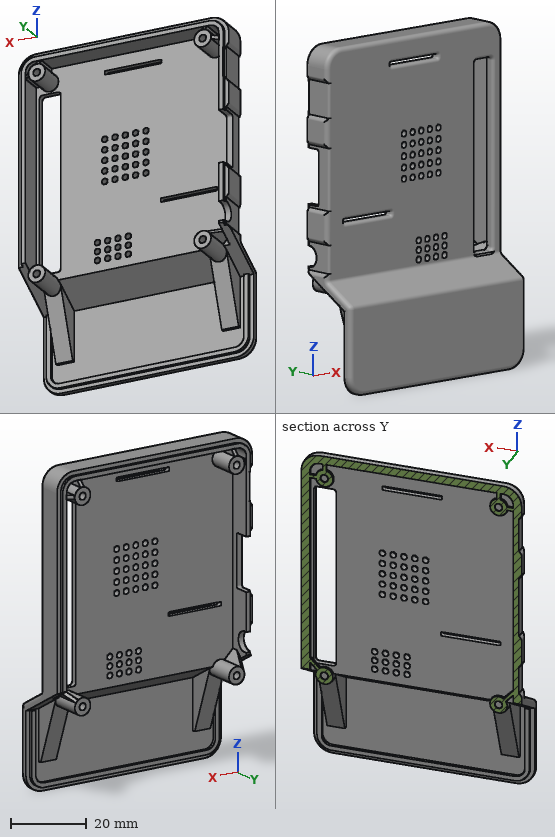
import cadquery as cq
import math

width = 62.1
height = 92.1
half_width = width / 2
corner_radius = 5.25
skin = 2.4
rim_y = 7.8
hood_front_y = -9.2
hood_rear_y = hood_front_y + skin
slope_angle = math.radians(30)
hood_slope = math.tan(slope_angle)
bend_z = 29.65
hood_bend_z = bend_z + hood_front_y * hood_slope
rear_drop = skin / math.cos(slope_angle)
front_fillet = 1.3
upper_bend_radius = 1.0
lower_bend_radius = 1.4

lip_inset = 1.2
lip_thickness = 1.3
lip_height = 0.9
lip_rear_y = rim_y + lip_height
hood_lip_y = hood_rear_y + lip_height
lip_flat_depth = 0.2
lip_flat_bottom_z = 74.3
lip_flat_top_z = 82.4
wall = lip_inset + lip_thickness

boss_radius = 2.5
boss_inset = 6.5
boss_x = half_width - boss_inset
boss_rear_y = 10.2
upper_boss_z = height - boss_inset
lower_boss_z = 27.4
lower_boss_front_y = 0.0
screw_radius = 1.0
screw_depth = 7.4
rib_thickness = 1.1
upper_rib_step = 0.2
lower_rib_angle = 45.0
lower_rib_end_y = 2.3

wedge_top_y = 1.3
wedge_bottom_z = 8.3

recess_depth = 0.7
recess_ramp = 0.9
recess_fillet = 0.6
recess_corner_radius = 0.8
recess_floors = [(73.7, 83.1), (48.7, 65.6), (31.9, 39.5)]
port_front_y = 4.1
port_bottom_z = 49.4
port_top_z = 64.6
port_corner = 0.6
jack_radius = 2.9
jack_z = 35.45

opening_fillet = 0.9
vent_corner = 0.4
window_corner = 0.9
vent_length = 16.8
vent_height = 1.1
vent_centers = [(0, 85.3), (-16.5, 45.2)]
window_x = 24.5
window_width = 6.3
window_bottom_z = 30.6
window_top_z = 82.5
sound_hole_diameter = 1.7
sound_hole_pitch = 3.0
lower_row_pitch = 2.6
upper_grid_center = (2.3, 60.0)
lower_grid_center = (6.0, 34.2)


def slope_z(y, drop):
    """Height of the slope at depth y, lowered by drop."""
    return bend_z + y * hood_slope - drop


def side_block(points, x_start, x_end):
    """Extrude an outline given as (y, z) points from x_start to x_end."""
    return cq.Workplane("YZ", origin=(x_start, 0, 0)).polyline(points).close().extrude(x_end - x_start)


def rounded_column(inset):
    """Front outline of the part, moved inward by inset, as a column along Y."""
    return (
        cq.Workplane("XZ", origin=(0, boss_rear_y, height / 2))
        .rect(width - 2 * inset, height - 2 * inset)
        .extrude(boss_rear_y - hood_front_y)
        .edges("|Y")
        .fillet(corner_radius - inset)
    )


def bent_layer(front_offset, rear_y, rear_offset, inset):
    """Solid behind the bent front, with its outline moved inward by inset.

    The front surface lies front_offset behind the bent front. The rear surface is
    rear_offset behind it along the hood and the slope, and at rear_y along the case.
    """
    front_drop = front_offset / math.cos(slope_angle)
    back_drop = rear_offset / math.cos(slope_angle)
    hood_y = hood_front_y + front_offset
    hood_back_y = hood_front_y + rear_offset
    outline = [
        (rear_y, height),
        (front_offset, height),
        (front_offset, slope_z(front_offset, front_drop)),
        (hood_y, slope_z(hood_y, front_drop)),
        (hood_y, 0),
        (hood_back_y, 0),
        (hood_back_y, slope_z(hood_back_y, back_drop)),
        (rear_y, slope_z(rear_y, back_drop)),
    ]
    return side_block(outline, -half_width, half_width).intersect(rounded_column(inset))


def edge_at(y, z):
    """Selector for the edge crossing the middle plane at (y, z)."""
    reach = 0.1
    return cq.selectors.BoxSelector((-reach, y - reach, z - reach), (reach, y + reach, z + reach))


def make_lip():
    """Lip blanks on the case rim, ending at the slope, and on the rear of the hood."""
    case_lip = [
        (skin, height),
        (lip_rear_y, height),
        (lip_rear_y, slope_z(lip_rear_y, rear_drop)),
        (skin, slope_z(skin, rear_drop)),
    ]
    hood_top_z = slope_z(hood_rear_y, rear_drop)
    hood_lip = [
        (hood_rear_y, 0),
        (hood_lip_y, 0),
        (hood_lip_y, hood_top_z),
        (hood_rear_y, hood_top_z),
    ]
    outline = rounded_column(lip_inset)
    case_part = side_block(case_lip, -half_width, half_width).intersect(outline)
    hood_part = side_block(hood_lip, -half_width, half_width).intersect(outline)
    return case_part.union(hood_part)


def make_shell():
    """Hollow case and hood with rounded front edges and a lip on the rear rim."""
    shell = bent_layer(0, rim_y, skin, 0)
    shell = shell.edges(edge_at(0, bend_z)).fillet(upper_bend_radius)
    shell = shell.edges(edge_at(hood_front_y, hood_bend_z)).fillet(lower_bend_radius)
    shell = shell.edges(edge_at(0, height)).fillet(front_fillet)
    cavity = bent_layer(skin, boss_rear_y, 2 * skin, wall)
    return shell.union(make_lip()).cut(cavity)


def make_wedge():
    """Right wedge behind the hood, as wide as the boss that ends on it."""
    inner_y = hood_front_y + skin / 2
    outline = [
        (wedge_top_y, slope_z(wedge_top_y, rear_drop)),
        (hood_lip_y, wedge_bottom_z),
        (inner_y, wedge_bottom_z),
        (inner_y, slope_z(inner_y, rear_drop / 2)),
        (wedge_top_y, slope_z(wedge_top_y, rear_drop / 2)),
    ]
    return side_block(outline, boss_x - boss_radius, boss_x + boss_radius)


def y_cylinder(x, z, radius, front_y, rear_y):
    """Round bar along Y."""
    return cq.Workplane("XZ", origin=(x, rear_y, z)).circle(radius).extrude(rear_y - front_y)


def boss_rib(z, angle, length, start_y, end_y):
    """Rib from a right boss to the wall; its rear edge falls from start_y at the boss to end_y."""
    outline = [
        (0, skin / 2),
        (length, skin / 2),
        (length, end_y),
        (boss_radius, start_y),
        (0, start_y),
    ]
    rib = cq.Workplane("XY").polyline(outline).close().extrude(rib_thickness / 2, both=True)
    return rib.rotate((0, 0, 0), (0, 1, 0), -angle).translate((boss_x, 0, z))


def make_upper_boss():
    """Upper right boss with one rib to the side wall and one to the top wall."""
    boss = y_cylinder(boss_x, upper_boss_z, boss_radius, skin / 2, boss_rear_y)
    reach = boss_inset - wall / 2
    start_y = boss_rear_y - upper_rib_step
    end_y = start_y - (reach - boss_radius)
    for angle in (0, 90):
        boss = boss.union(boss_rib(upper_boss_z, angle, reach, start_y, end_y))
    return boss


def make_lower_boss():
    """Lower right boss below the case floor, with a diagonal rib up into the case corner."""
    boss = y_cylinder(boss_x, lower_boss_z, boss_radius, lower_boss_front_y, boss_rear_y)
    reach = (boss_inset - wall / 2) / math.cos(math.radians(lower_rib_angle))
    return boss.union(boss_rib(lower_boss_z, lower_rib_angle, reach, boss_rear_y, lower_rib_end_y))


def cut_screw_holes(body, z):
    """Blind screw holes from the rear in the left and right boss at height z."""
    for x in (-boss_x, boss_x):
        body = body.cut(y_cylinder(x, z, screw_radius, boss_rear_y - screw_depth, boss_rear_y))
    return body


def side_recess(bottom_z, top_z):
    """Shallow recess in the left side, with sloping ends and a rounded front edge."""
    end_margin = 2 * recess_ramp
    floor_x = recess_depth - half_width
    front_x = floor_x + recess_fillet
    depth_profile = (
        cq.Workplane("XY", origin=(0, 0, bottom_z - end_margin))
        .moveTo(-half_width, rim_y)
        .lineTo(floor_x, rim_y)
        .lineTo(floor_x, recess_fillet)
        .radiusArc((front_x, 0), -recess_fillet)
        .lineTo(-half_width, 0)
        .close()
        .extrude(top_z - bottom_z + 2 * end_margin)
    )
    slope = math.atan2(recess_depth, recess_ramp)
    setback = recess_corner_radius * math.tan(slope / 2)
    blend_x = setback * math.sin(slope) - half_width
    blend_z = recess_ramp - setback * math.cos(slope)
    side_profile = (
        cq.Workplane("XZ", origin=(0, rim_y, 0))
        .moveTo(-half_width, bottom_z - recess_ramp - setback)
        .radiusArc((blend_x, bottom_z - blend_z), recess_corner_radius)
        .lineTo(floor_x, bottom_z)
        .lineTo(front_x, bottom_z)
        .lineTo(front_x, top_z)
        .lineTo(floor_x, top_z)
        .lineTo(blend_x, top_z + blend_z)
        .radiusArc((-half_width, top_z + recess_ramp + setback), recess_corner_radius)
        .close()
        .extrude(rim_y)
    )
    return depth_profile.intersect(side_profile)


def cut_left_wall(body):
    """Side recesses, port opening, jack notch and lip flat of the left wall."""
    for bottom_z, top_z in recess_floors:
        body = body.cut(side_recess(bottom_z, top_z))
    port = (
        cq.Workplane("XY", origin=(-half_width, port_front_y, port_bottom_z))
        .box(wall, boss_rear_y - port_front_y, port_top_z - port_bottom_z, centered=False)
        .edges("|X and <Y")
        .fillet(port_corner)
    )
    jack = (
        cq.Workplane("YZ", origin=(-half_width, rim_y, jack_z))
        .circle(jack_radius)
        .extrude(wall)
    )
    jack_mouth = cq.Workplane("XY", origin=(-half_width, rim_y, jack_z)).box(
        wall, lip_height, 2 * jack_radius, centered=(False, False, True))
    lip_flat = cq.Workplane("XY", origin=(-half_width, rim_y, lip_flat_bottom_z)).box(
        lip_inset + lip_flat_depth, lip_height, lip_flat_top_z - lip_flat_bottom_z, centered=False)
    return body.cut(port).cut(jack).cut(jack_mouth).cut(lip_flat)


def plate_opening(x, z, opening_width, opening_height, corner):
    """Cutter for a rounded opening through the front plate with a rounded-over front edge."""
    margin = 4 * opening_fillet
    plate = (
        cq.Workplane("XZ", origin=(x, skin, z))
        .rect(opening_width + margin, opening_height + margin)
        .extrude(skin)
    )
    through = (
        cq.Workplane("XZ", origin=(x, skin, z))
        .rect(opening_width, opening_height)
        .extrude(skin)
        .edges("|Y")
        .fillet(corner)
    )
    frame = plate.cut(through)
    rim_edge = cq.selectors.BoxSelector(
        (x - opening_width / 2 - corner, -corner, z - opening_height / 2 - corner),
        (x + opening_width / 2 + corner, corner, z + opening_height / 2 + corner))
    frame = frame.faces("<Y").edges(rim_edge).fillet(opening_fillet)
    return plate.cut(frame)


def sound_holes(center, columns, rows, row_pitch):
    """Grid of round holes through the front plate, centred at (x, z)."""
    x, z = center
    return (
        cq.Workplane("XZ", origin=(x, skin, z))
        .rarray(sound_hole_pitch, row_pitch, columns, rows)
        .circle(sound_hole_diameter / 2)
        .extrude(skin)
    )


right_bosses = make_upper_boss().union(make_lower_boss()).union(make_wedge())
result = make_shell()
result = result.union(right_bosses).union(right_bosses.mirror("YZ"))
result = cut_screw_holes(result, upper_boss_z)
result = cut_screw_holes(result, lower_boss_z)
result = cut_left_wall(result)
for vent_x, vent_z in vent_centers:
    result = result.cut(plate_opening(vent_x, vent_z, vent_length, vent_height, vent_corner))
window_z = (window_bottom_z + window_top_z) / 2
window_height = window_top_z - window_bottom_z
result = result.cut(plate_opening(window_x, window_z, window_width, window_height, window_corner))
result = result.cut(sound_holes(upper_grid_center, 5, 5, sound_hole_pitch))
result = result.cut(sound_holes(lower_grid_center, 4, 3, lower_row_pitch))